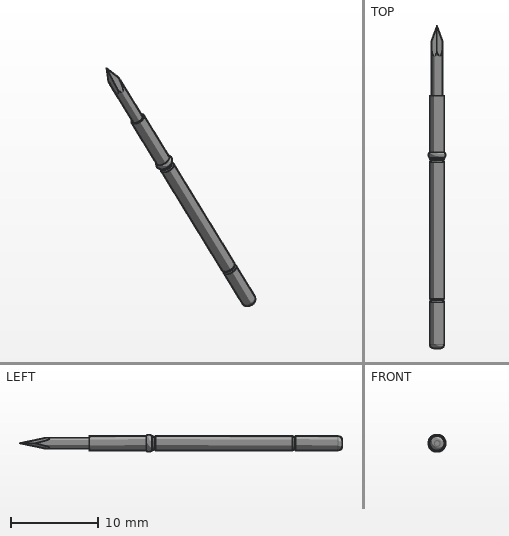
import cadquery as cq

total_length = 37.0

barrel_length = 29.0
barrel_radius = 0.835
tail_fillet = 0.5

collar_radius = 1.0
collar_width = 0.64
collar_center = 22.19

crimp_width = 0.4
crimp_depth = 0.15
front_crimp_center = 21.57
rear_crimp_center = 5.52

plunger_radius = 0.645
flat_ridge_length = 3.0
side_ridge_length = 1.75
point_length = 4.0


def rod(radius, start, end):
    """Cylinder along Y from start to end."""
    return cq.Workplane("XZ", origin=(0, end, 0)).circle(radius).extrude(end - start)


def make_barrel():
    """Round barrel with its tail edge rounded."""
    return rod(barrel_radius, 0, barrel_length).faces("<Y").edges().fillet(tail_fillet)


def make_collar():
    """Bead around the barrel: an arc-shaped rim on a section that reaches in to the axis."""
    rear = collar_center - collar_width / 2
    front = collar_center + collar_width / 2
    return (
        cq.Workplane("XY")
        .moveTo(0, rear)
        .lineTo(barrel_radius, rear)
        .threePointArc((collar_radius, collar_center), (barrel_radius, front))
        .lineTo(0, front)
        .close()
        .revolve(360, (0, 0, 0), (0, 1, 0))
    )


def crimp_cutter(center):
    """Ring with a V-shaped section that cuts a shallow groove into the barrel."""
    half_width = crimp_width / 2
    return (
        cq.Workplane("XY")
        .moveTo(barrel_radius, center - half_width)
        .lineTo(barrel_radius - crimp_depth, center)
        .lineTo(barrel_radius, center + half_width)
        .close()
        .revolve(360, (0, 0, 0), (0, 1, 0))
    )


def make_plunger():
    """Round rod sharpened to a pyramid whose rhombus section is wider across X than Z."""
    base_y = total_length - point_length
    half_width = plunger_radius * point_length / side_ridge_length
    half_height = plunger_radius * point_length / flat_ridge_length
    tip = cq.Vector(0, total_length, 0)
    corners = [
        cq.Vector(half_width, base_y, 0),
        cq.Vector(0, base_y, half_height),
        cq.Vector(-half_width, base_y, 0),
        cq.Vector(0, base_y, -half_height),
    ]
    outlines = [corners]
    for index, corner in enumerate(corners):
        outlines.append([corners[index - 1], corner, tip])
    faces = [cq.Face.makeFromWires(cq.Wire.makePolygon(outline, close=True)) for outline in outlines]
    pyramid = cq.Solid.makeSolid(cq.Shell.makeShell(faces))
    point = rod(plunger_radius, base_y, total_length).intersect(cq.Workplane(pyramid))
    return rod(plunger_radius, barrel_length, base_y).union(point)


result = make_barrel().union(make_collar()).union(make_plunger())
for crimp_center in (front_crimp_center, rear_crimp_center):
    result = result.cut(crimp_cutter(crimp_center))